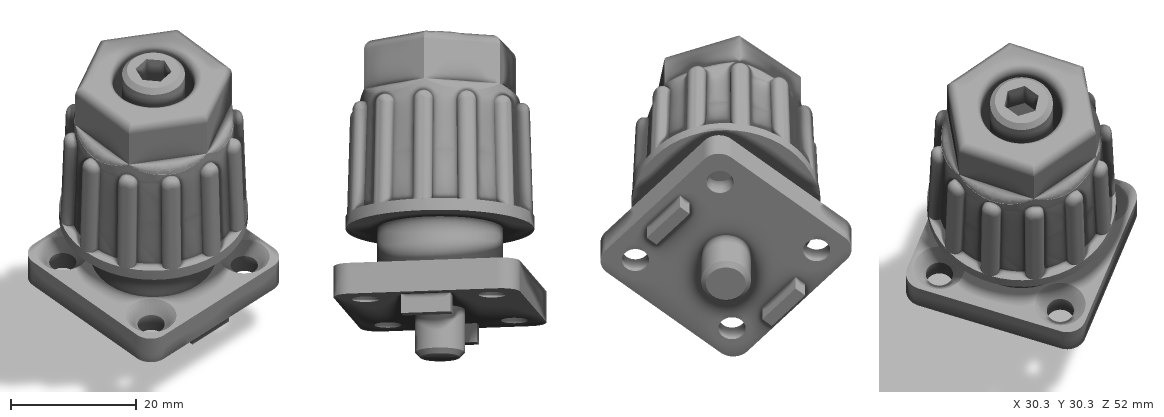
import cadquery as cq
import math

LUG_BOTTOM = 4.65
PLATE_BOTTOM = 7.7
PLATE_TOP = 12.7
FLANGE_BOTTOM = 20.8
FLANGE_TOP = 22.7
RIB_ROUND = 39.2
SHOULDER = 42.7
NUT_TOP = 50.7
SCREW_TOP = 52.0

BASE_TURN = 0.6
PLATE_SIDE = 30.0
PLATE_CORNER_RADIUS = 3.0
COLLAR_DIAMETER = 20.0
SCREW_HOLE_PITCH = 20.4
SCREW_HOLE_DIAMETER = 4.3
COUNTERSINK_DIAMETER = 8.0
COUNTERSINK_ANGLE = 90
LUG_THICKNESS = 2.05
LUG_WIDTH = 8.0
LUG_SPACING = 24.35

NUT_TURN = -0.9
FLANGE_DIAMETER = 30.0
FLANGE_RADIUS = FLANGE_DIAMETER / 2
HEX_ACROSS_FLATS = 22.0
HEX_FLATS = 6
HEX_EDGE_RADIUS = 1.5
BORE_TOP_DIAMETER = 13.0
BORE_FLOOR_DIAMETER = 12.6
BORE_RIM_RADIUS = 1.5
BARREL_WIDENING = 0.6
RIB_COUNT = 12
RIB_WIDTH = 3.0
RIB_EDGE_RADIUS = 1.2
RIB_TRIM = 0.5
RIB_DEPTH = 2.6
HALF_FLAT = HEX_ACROSS_FLATS / 2
HEX_CORNER_RADIUS = HALF_FLAT / math.cos(math.pi / HEX_FLATS)
BARREL_TOP_RADIUS = HEX_CORNER_RADIUS
BARREL_BASE_RADIUS = BARREL_TOP_RADIUS + BARREL_WIDENING
BARREL_SLOPE = BARREL_WIDENING / (SHOULDER - FLANGE_TOP)

SHOULDER_HALF_SPAN = 29.8
SHOULDER_SECTIONS = 7
SHOULDER_CUT_MARGIN = 0.5

HEAD_DIAMETER = 10.0
HEAD_TOP_DIAMETER = 8.4
SHANK_DIAMETER = 7.9
TIP_CHAMFER = 0.8
SOCKET_ACROSS_FLATS = 5.0
SOCKET_DEPTH = 5.0
SOCKET_TURN = -20


def cylinder(diameter, bottom, top):
    return cq.Workplane("XY").workplane(offset=bottom).circle(diameter / 2).extrude(top - bottom)


def hexagonal_prism(across_flats, bottom, top):
    across_corners = across_flats / math.cos(math.pi / HEX_FLATS)
    return cq.Workplane("XY").workplane(offset=bottom).polygon(HEX_FLATS, across_corners).extrude(top - bottom)


def turned_about_z(body, degrees):
    return body.rotate((0, 0, 0), (0, 0, 1), degrees)


def make_base():
    plate = (
        cq.Workplane("XY")
        .workplane(offset=PLATE_BOTTOM)
        .rect(PLATE_SIDE, PLATE_SIDE)
        .extrude(PLATE_TOP - PLATE_BOTTOM)
        .edges("|Z")
        .fillet(PLATE_CORNER_RADIUS)
        .faces(">Z")
        .workplane()
        .rect(SCREW_HOLE_PITCH, SCREW_HOLE_PITCH, forConstruction=True)
        .vertices()
        .cskHole(SCREW_HOLE_DIAMETER, COUNTERSINK_DIAMETER, COUNTERSINK_ANGLE)
    )
    lugs = (
        cq.Workplane("XY")
        .workplane(offset=LUG_BOTTOM)
        .pushPoints([(-LUG_SPACING / 2, 0), (LUG_SPACING / 2, 0)])
        .rect(LUG_THICKNESS, LUG_WIDTH)
        .extrude(PLATE_BOTTOM - LUG_BOTTOM)
    )
    base = plate.union(cylinder(COLLAR_DIAMETER, PLATE_TOP, FLANGE_BOTTOM)).union(lugs)
    base = base.cut(cylinder(SHANK_DIAMETER, PLATE_BOTTOM, FLANGE_BOTTOM))
    return turned_about_z(base, BASE_TURN)


def make_barrel():
    """Flange and conical barrel."""
    return (
        cq.Workplane("XZ")
        .moveTo(0, FLANGE_BOTTOM)
        .lineTo(FLANGE_RADIUS, FLANGE_BOTTOM)
        .lineTo(FLANGE_RADIUS, FLANGE_TOP)
        .lineTo(BARREL_BASE_RADIUS, FLANGE_TOP)
        .lineTo(BARREL_TOP_RADIUS, SHOULDER)
        .lineTo(0, SHOULDER)
        .close()
        .revolve(360, (0, 0, 0), (0, 1, 0))
    )


def shoulder_section(angle):
    """Waste outside a quarter round between hexagon flat and barrel, in the radial plane at angle."""
    radial = cq.Vector(math.cos(angle), math.sin(angle), 0)
    plane = cq.Plane(origin=(0, 0, SHOULDER), xDir=radial, normal=radial.cross(cq.Vector(0, 0, 1)))
    flat_radius = HALF_FLAT / math.cos(angle)
    rounding = BARREL_TOP_RADIUS - flat_radius
    middle = (
        flat_radius + rounding * math.sin(math.pi / 4),
        -rounding * (1 - math.cos(math.pi / 4)),
    )
    outside = BARREL_TOP_RADIUS + SHOULDER_CUT_MARGIN
    return (
        cq.Workplane(plane)
        .moveTo(flat_radius, 0)
        .threePointArc(middle, (BARREL_TOP_RADIUS, -rounding))
        .lineTo(outside, -rounding)
        .lineTo(outside, SHOULDER_CUT_MARGIN)
        .lineTo(flat_radius, SHOULDER_CUT_MARGIN)
        .close()
        .val()
    )


def make_shoulder_cutter():
    """Waste above the shoulder rounding of the hexagon flat that faces +X."""
    step = 2 * SHOULDER_HALF_SPAN / (SHOULDER_SECTIONS - 1)
    angles = [math.radians(i * step - SHOULDER_HALF_SPAN) for i in range(SHOULDER_SECTIONS)]
    return cq.Workplane(cq.Solid.makeLoft([shoulder_section(angle) for angle in angles]))


def make_rib():
    """Rib on the +X side: rounded top end and rounded outer edges, leaning with the barrel."""
    half_width = RIB_WIDTH / 2
    height = RIB_ROUND - FLANGE_TOP + RIB_TRIM
    rib = (
        cq.Workplane("YZ")
        .moveTo(-half_width, -height)
        .lineTo(half_width, -height)
        .lineTo(half_width, 0)
        .threePointArc((0, half_width), (-half_width, 0))
        .close()
        .extrude(-RIB_DEPTH)
    )
    rib = rib.faces(">X").edges("not <Z").fillet(RIB_EDGE_RADIUS)
    rib = rib.rotate((0, 0, 0), (0, 1, 0), -math.degrees(math.atan(BARREL_SLOPE)))
    rib = rib.translate((FLANGE_RADIUS - BARREL_SLOPE * (RIB_ROUND - FLANGE_TOP), 0, RIB_ROUND))
    return rib.intersect(cylinder(2 * (FLANGE_RADIUS + RIB_TRIM), FLANGE_TOP, SHOULDER))


def make_bore():
    height = NUT_TOP - FLANGE_BOTTOM
    cone = cq.Solid.makeCone(BORE_FLOOR_DIAMETER / 2, BORE_TOP_DIAMETER / 2, height)
    return cq.Workplane(cone.translate((0, 0, FLANGE_BOTTOM)))


def make_nut():
    seam_turn = 180 / RIB_COUNT
    nut = turned_about_z(make_barrel(), seam_turn)
    shoulder_cutter = make_shoulder_cutter()
    for i in range(HEX_FLATS):
        nut = nut.cut(turned_about_z(shoulder_cutter, (i + 0.5) * 360 / HEX_FLATS))
    rib = make_rib()
    for i in range(RIB_COUNT):
        nut = nut.union(turned_about_z(rib, i * 360 / RIB_COUNT))
    hexagon = hexagonal_prism(HEX_ACROSS_FLATS, SHOULDER, NUT_TOP)
    nut = nut.union(hexagon.faces(">Z").edges().fillet(HEX_EDGE_RADIUS))
    nut = nut.cut(make_bore())
    nut = nut.faces(">Z").edges("%CIRCLE").fillet(BORE_RIM_RADIUS)
    return turned_about_z(nut, NUT_TURN)


def make_screw():
    head_chamfer = (HEAD_DIAMETER - HEAD_TOP_DIAMETER) / 2
    head = cylinder(HEAD_DIAMETER, FLANGE_BOTTOM, SCREW_TOP).faces(">Z").chamfer(head_chamfer)
    shank = cylinder(SHANK_DIAMETER, 0, FLANGE_BOTTOM).faces("<Z").chamfer(TIP_CHAMFER)
    socket = hexagonal_prism(SOCKET_ACROSS_FLATS, SCREW_TOP - SOCKET_DEPTH, SCREW_TOP)
    return head.union(shank).cut(turned_about_z(socket, SOCKET_TURN))


base = make_base()
nut = make_nut()
screw = make_screw()

result = cq.Compound.makeCompound([*base.solids().vals(), *nut.solids().vals(), *screw.solids().vals()])